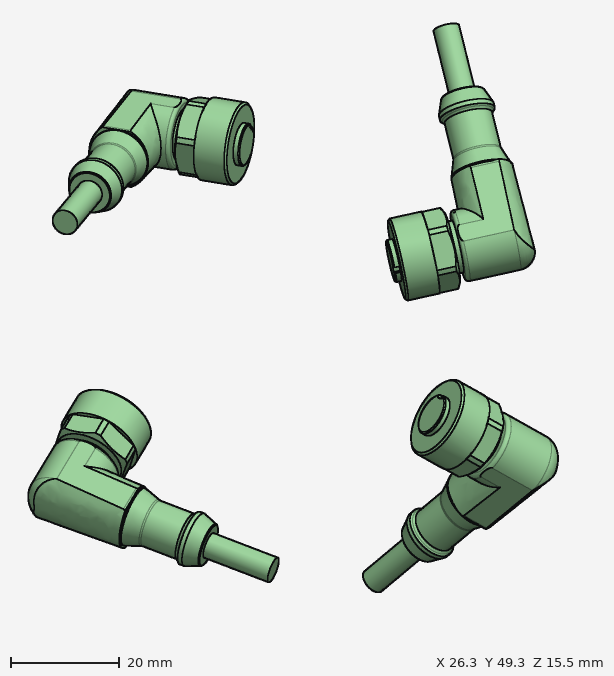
import cadquery as cq
import math


arm_radius = 6.7
arm_end_x = 7.55
arm_end_fillet = 0.75
dome_radius = 3.45
dome_back_x = -6.2
leg_end_y = -12.95
flat_slope = 0.057
flat_height = 6.5
flat_end_bevel_length = 0.45
flat_end_bevel_depth = 0.1
back_x = -6.0
back_slope = 0.012
flat_left_x = -2.8
flat_left_slope = 0.03
flat_right_x = 2.25
flat_right_end_x = 2.15
front_x = 6.15
front_end_x = 5.75

cone_start_radius = 5.65
cone_rim_length = 0.3
cone_end_y = -16.35
cone_foot_length = 0.35
cone_foot_height = 0.1
relief_radius = 4.51
collar_start_y = -23.75
collar_radius = 5.2
collar_taper_y = -25.45
collar_end_y = -28.45
collar_end_radius = 4.15
collar_shoulder_y = -24.25
collar_shoulder_radius = 4.9
collar_rim_y = -24.55
collar_end_edge = 0.2
cable_radius = 2.44
cable_end_y = -41.55

neck_radius = 4.905
nut_start_x = 8.6
nut_corner_radius = 7.65
nut_across_flats = 13.75
nut_corner_angle = -11
nut_face_radius = 6.5
nut_bevel_length = 0.6
sleeve_start_x = 12.7
sleeve_end_x = 19.1
sleeve_radius = 7.75
sleeve_chamfer = 0.4
insert_radius = 3.97
insert_end_x = 20.25
insert_chamfer = 0.25
key_slot_angle = 45
key_slot_width = 1.25
key_slot_floor = 3.25


def cylinder_x(radius, start_x, end_x):
    return cq.Workplane("YZ", origin=(start_x, 0, 0)).circle(radius).extrude(end_x - start_x)


def loft_elbow(start_y, start_section, end_section):
    """Loft straight-sided between two section wires, starting at start_y."""
    return (
        cq.Workplane("XZ", origin=(0, start_y, 0))
        .add(start_section)
        .add(end_section)
        .toPending()
        .loft(ruled=True, combine=True)
    )


def envelope_section(y):
    """Bowed back between the two flats, open towards the coupling."""
    height = flat_height + flat_slope * y
    left = flat_left_x + flat_left_slope * y
    return (
        cq.Workplane("XZ", origin=(0, y, 0))
        .moveTo(left, -height)
        .threePointArc((back_x - back_slope * y, 0), (left, height))
        .lineTo(arm_end_x, height)
        .lineTo(arm_end_x, -height)
        .close()
        .val()
    )


def column_section(y, flat_right, front):
    """Bowed front of the leg, closed by a plain back that the envelope trims."""
    height = flat_height + flat_slope * y
    return (
        cq.Workplane("XZ", origin=(0, y, 0))
        .moveTo(dome_back_x, height)
        .lineTo(flat_right, height)
        .threePointArc((front, 0), (flat_right, -height))
        .lineTo(dome_back_x, -height)
        .close()
        .val()
    )


def make_elbow():
    arm = cylinder_x(arm_radius, dome_back_x, arm_end_x)
    arm = arm.faces(">X").edges().fillet(arm_end_fillet)
    arm = arm.faces("<X").edges().fillet(dome_radius)
    column = loft_elbow(
        0,
        column_section(0, flat_right_x, front_x),
        column_section(leg_end_y, flat_right_end_x, front_end_x),
    )
    envelope = loft_elbow(arm_radius, envelope_section(arm_radius), envelope_section(leg_end_y))
    elbow = envelope.intersect(arm.union(column))
    bevel = (
        cq.Workplane("YZ", origin=(dome_back_x, 0, 0))
        .moveTo(leg_end_y, flat_height + flat_slope * leg_end_y - flat_end_bevel_depth)
        .line(0, arm_radius)
        .line(flat_end_bevel_length, 0)
        .lineTo(
            leg_end_y + flat_end_bevel_length,
            flat_height + flat_slope * (leg_end_y + flat_end_bevel_length),
        )
        .close()
        .extrude(arm_end_x - dome_back_x)
    )
    return elbow.cut(bevel).cut(bevel.mirror("XY"))


def make_strain_relief():
    return (
        cq.Workplane("XY")
        .polyline([
            (0, 0),
            (cone_start_radius, 0),
            (cone_start_radius, leg_end_y),
            (cone_start_radius, leg_end_y - cone_rim_length),
            (relief_radius + cone_foot_height, cone_end_y),
            (relief_radius, cone_end_y - cone_foot_length),
            (relief_radius, collar_start_y),
            (collar_shoulder_radius, collar_shoulder_y),
            (collar_radius, collar_rim_y),
            (collar_radius, collar_taper_y),
            (collar_end_radius, collar_end_y + collar_end_edge),
            (collar_end_radius - collar_end_edge, collar_end_y),
            (cable_radius, collar_end_y),
            (cable_radius, cable_end_y),
            (0, cable_end_y),
        ])
        .close()
        .revolve(360, (0, 0, 0), (0, 1, 0))
    )


def make_nut():
    hexagon = (
        cq.Workplane("YZ", origin=(nut_start_x, 0, 0))
        .polygon(6, nut_across_flats / math.cos(math.radians(30)))
        .extrude(sleeve_start_x - nut_start_x)
        .rotate((0, 0, 0), (1, 0, 0), 90 - nut_corner_angle)
    )
    turned_blank = (
        cq.Workplane("XY")
        .polyline([
            (nut_start_x, 0),
            (nut_start_x, nut_face_radius),
            (nut_start_x + nut_bevel_length, nut_corner_radius),
            (sleeve_start_x, nut_corner_radius),
            (sleeve_start_x, 0),
        ])
        .close()
        .revolve(360, (0, 0, 0), (1, 0, 0))
    )
    return hexagon.intersect(turned_blank)


def make_sleeve():
    sleeve = cylinder_x(sleeve_radius, sleeve_start_x, sleeve_end_x)
    return sleeve.faces(">X").edges().chamfer(sleeve_chamfer)


def make_insert():
    insert = cylinder_x(insert_radius, sleeve_start_x, insert_end_x)
    insert = insert.faces(">X").edges().chamfer(insert_chamfer)
    slot = (
        cq.Workplane("XY", origin=(sleeve_end_x, key_slot_floor, 0))
        .box(insert_end_x - sleeve_end_x, insert_radius, key_slot_width, centered=(False, False, True))
        .rotate((0, 0, 0), (1, 0, 0), key_slot_angle)
    )
    return insert.cut(slot)


neck = cylinder_x(neck_radius, 0, sleeve_start_x)

result = make_elbow()
for piece in (make_strain_relief(), neck, make_nut(), make_sleeve(), make_insert()):
    result = result.union(piece)